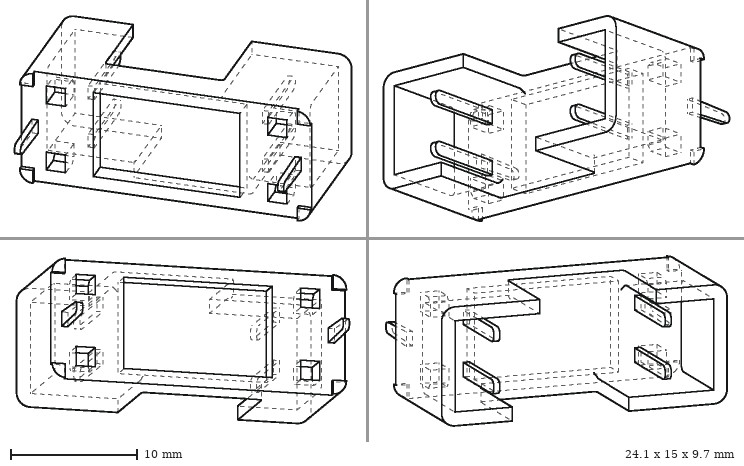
import cadquery as cq
import math


length = 24.15
depth = 10.36
height = 9.7
corner_radius = 1.14

wall = 1.14
floor = 3.02
cavity_length = length - 2 * wall
cavity_height = height - 2 * wall
cavity_fillet = 0.5

notch_long_side = 6.1
notch_short_side = 3.77
notch_fillet = 0.3

foot_height = 0.43
foot_length = 1.09
recess_length = 2 * notch_long_side
recess_height = cavity_height
recess_depth = 1.76
pocket_width = 1.57
pocket_x = 9.2
pocket_inner_z = 2.15
pocket_outer_z = cavity_height / 2
pocket_slope = 0.4
pocket_depth = recess_depth + pocket_slope

sheet = 0.5
pin_x = 10.95
pin_projection = 4.6
pin_root_width = 1.18
pin_tip_radius = 0.45

blade_x = 7.25
blade_z = 2.13
blade_width = 1.15
blade_top = 9.98


def block(x_range, y_range, z_range):
    """Box given by its lower and upper limits along each axis."""
    limits = (x_range, y_range, z_range)
    size = [upper - lower for lower, upper in limits]
    corner = cq.Vector(*[lower for lower, _ in limits])
    return cq.Workplane(cq.Solid.makeBox(*size, corner))


def make_outer():
    """Block with rounded long edges and a foot at each corner of the mounting face."""
    outer = (
        block((-length / 2, length / 2), (-foot_height, depth), (-height / 2, height / 2))
        .edges("|Y")
        .fillet(corner_radius)
    )
    foot_gap_x = length / 2 - foot_length
    foot_gap_z = height / 2 - corner_radius
    across = block((-foot_gap_x, foot_gap_x), (-foot_height, 0), (-height / 2, height / 2))
    along = block((-length / 2, length / 2), (-foot_height, 0), (-foot_gap_z, foot_gap_z))
    return outer.cut(across).cut(along)


def make_cavity():
    return (
        block(
            (-cavity_length / 2, cavity_length / 2),
            (floor, depth),
            (-cavity_height / 2, cavity_height / 2),
        )
        .faces("<Y")
        .edges("|X")
        .fillet(cavity_fillet)
    )


def make_notch(side):
    """Notch through the top wall (side 1) or the bottom wall (side -1)."""
    x_range = sorted((-side * notch_long_side, side * notch_short_side))
    z_range = sorted((0, side * height / 2))
    return block(x_range, (floor, depth), z_range).faces("<Y").edges("|Z").fillet(notch_fillet)


def make_recess():
    return block(
        (-recess_length / 2, recess_length / 2),
        (0, recess_depth),
        (-recess_height / 2, recess_height / 2),
    )


def make_pocket(side_x, side_z):
    """Blind pocket with a 45 degree slope at the bottom of its outer wall."""
    profile = [
        (0, side_z * pocket_inner_z),
        (0, side_z * pocket_outer_z),
        (pocket_depth - pocket_slope, side_z * pocket_outer_z),
        (pocket_depth, side_z * (pocket_outer_z - pocket_slope)),
        (pocket_depth, side_z * pocket_inner_z),
    ]
    return (
        cq.Workplane("YZ", origin=(side_x * pocket_x, 0, 0))
        .polyline(profile)
        .close()
        .extrude(pocket_width / 2, both=True)
    )


def make_pin(side_x):
    """Flat pin on the mounting face, tapering tangentially into a round tip."""
    half_root = pin_root_width / 2
    tip_centre = pin_projection - pin_tip_radius
    taper = math.atan2(half_root, tip_centre) - math.asin(pin_tip_radius / math.hypot(half_root, tip_centre))
    tangent_y = -tip_centre - pin_tip_radius * math.sin(taper)
    tangent_z = pin_tip_radius * math.cos(taper)
    return (
        cq.Workplane("YZ", origin=(side_x * pin_x, 0, 0))
        .moveTo(0, half_root)
        .lineTo(tangent_y, tangent_z)
        .threePointArc((-pin_projection, 0), (tangent_y, -tangent_z))
        .lineTo(0, -half_root)
        .close()
        .extrude(sheet / 2, both=True)
    )


def make_blade(side_x, side_z):
    """Upright flat blade on the cavity floor with a round top."""
    radius = blade_width / 2
    centre_z = side_z * blade_z
    shoulder_y = blade_top - radius
    return (
        cq.Workplane("YZ", origin=(side_x * blade_x, 0, 0))
        .moveTo(floor, centre_z - radius)
        .lineTo(shoulder_y, centre_z - radius)
        .threePointArc((blade_top, centre_z), (shoulder_y, centre_z + radius))
        .lineTo(floor, centre_z + radius)
        .close()
        .extrude(sheet / 2, both=True)
    )


sides = (-1, 1)
corners = [(side_x, side_z) for side_x in sides for side_z in sides]

pins = [make_pin(side_x) for side_x in sides]
blades = [make_blade(side_x, side_z) for side_x, side_z in corners]

housing = make_outer().cut(make_cavity()).cut(make_recess())
for side in sides:
    housing = housing.cut(make_notch(side))
for side_x, side_z in corners:
    housing = housing.cut(make_pocket(side_x, side_z))

result = cq.Compound.makeCompound(
    [housing.val(), *[pin.val() for pin in pins], *[blade.val() for blade in blades]]
)